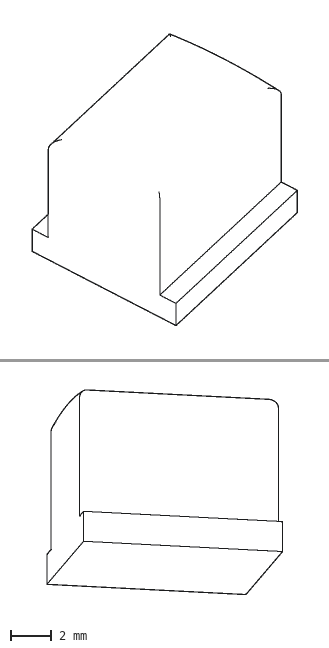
import cadquery as cq

base_width = 8.82
length = 10.0
base_height = 1.52

body_width = 6.84
total_height = 8.22
crown_radius = 26.0
crown_offset = -0.06
edge_radius = 0.5


def crown_height(x):
    """Height of the crowned top at a given X."""
    drop = crown_radius - (crown_radius**2 - (x - crown_offset) ** 2) ** 0.5
    return total_height - drop


half_body = body_width / 2
half_base = base_width / 2

section = (
    cq.Workplane("XZ")
    .moveTo(-half_base, 0)
    .lineTo(half_base, 0)
    .lineTo(half_base, base_height)
    .lineTo(half_body, base_height)
    .lineTo(half_body, crown_height(half_body))
    .threePointArc((crown_offset, total_height), (-half_body, crown_height(-half_body)))
    .lineTo(-half_body, base_height)
    .lineTo(-half_base, base_height)
    .close()
)
blank = section.extrude(length / 2, both=True)

crown = blank.faces(">Z")
sides_rounded = crown.edges("|Y").fillet(edge_radius)
ends_rounded = crown.edges("not |Y").fillet(edge_radius)
result = sides_rounded.intersect(ends_rounded)